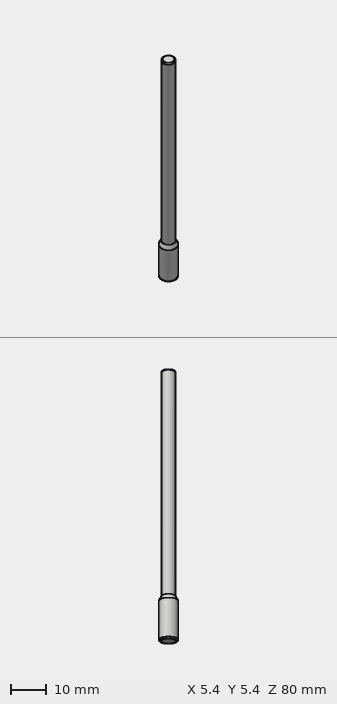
import cadquery as cq

total_length = 80.0
pin_diameter = 4.0
pin_chamfer_length = 0.4
pin_tip_diameter = 3.2

sleeve_diameter = 5.4
sleeve_length = 13.3
shoulder_length = 1.4
sleeve_bottom_chamfer = 0.4

pin_radius = pin_diameter / 2
sleeve_radius = sleeve_diameter / 2


def revolve_profile(points):
    """Revolve a closed (radius, height) outline around the Z axis."""
    return cq.Workplane("XZ").polyline(points).close().revolve(360, (0, 0), (0, 1))


def make_pin():
    """Straight round pin with a chamfered upper end."""
    return revolve_profile([
        (0, 0),
        (pin_radius, 0),
        (pin_radius, total_length - pin_chamfer_length),
        (pin_tip_diameter / 2, total_length),
        (0, total_length),
    ])


def make_sleeve():
    """Bored sleeve with a tapered shoulder and a chamfered lower end."""
    return revolve_profile([
        (pin_radius, 0),
        (sleeve_radius - sleeve_bottom_chamfer, 0),
        (sleeve_radius, sleeve_bottom_chamfer),
        (sleeve_radius, sleeve_length - shoulder_length),
        (pin_radius, sleeve_length),
    ])


pin = make_pin()
sleeve = make_sleeve()

result = cq.Compound.makeCompound([pin.val(), sleeve.val()])